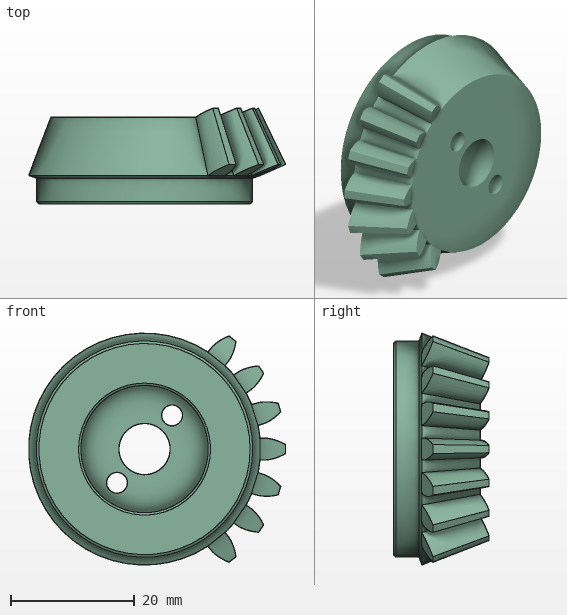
import cadquery as cq
import math

hub_radius = 34.85 / 2
hub_chamfer = 0.4
hub_length = 4.15
rim_radius = 18.7
rim_y = 4.6
front_radius = 15.08
front_y = 14.0

recess_diameter = 20.5
recess_chamfer = 0.37
recess_depth = 5.15
shaft_diameter = 8.2
dowel_diameter = 3.3
dowel_x = 4.45
dowel_z = 5.43

teeth_per_turn = 21
teeth_present = 7
tip_radius = 22.75
tip_y = 6.38
root_half_width = 1.8
tip_half_width = 0.725
flank_bulge = 0.325
flank_facets = 6
facet_height = 0.65
root_sink = 0.12

apex_y = rim_y + rim_radius * (front_y - rim_y) / (rim_radius - front_radius)
front_scale = (apex_y - front_y) / (apex_y - rim_y)
back_angle = math.atan2(tip_y - rim_y, tip_radius - rim_radius)
tooth_height = math.hypot(tip_radius - rim_radius, tip_y - rim_y)


def make_body():
    profile = [
        (0, 0),
        (hub_radius - hub_chamfer, 0),
        (hub_radius, hub_chamfer),
        (hub_radius, hub_length),
        (rim_radius, rim_y),
        (front_radius, front_y),
        (0, front_y),
    ]
    return cq.Workplane("XY").polyline(profile).close().revolve(360, (0, 0, 0), (0, 1, 0))


def round_cut(diameter, depth, x=0, z=0):
    """Cylinder running from the back face towards +Y."""
    return cq.Workplane("XZ").center(x, z).circle(diameter / 2).extrude(-depth)


def recess_mouth():
    """Conical chamfer at the mouth of the recess."""
    mouth_radius = recess_diameter / 2 + recess_chamfer
    cone = cq.Solid.makeCone(
        mouth_radius, recess_diameter / 2, recess_chamfer, cq.Vector(0, 0, 0), cq.Vector(0, 1, 0)
    )
    return cq.Workplane(cone)


def half_width(height):
    """Half thickness of a tooth at a height above its root: a straight taper plus a parabolic bulge."""
    t = height / tooth_height
    taper = root_half_width + (tip_half_width - root_half_width) * t
    return taper + 4 * flank_bulge * t * (1 - t)


def tooth_section(scale):
    """Tooth outline on the back cone, shrunk towards the apex by the given scale."""
    origin = (scale * rim_radius, apex_y + scale * (rim_y - apex_y), 0)
    along_height = (math.cos(back_angle), math.sin(back_angle), 0)
    towards_front = (-math.sin(back_angle), math.cos(back_angle), 0)
    flank = [(-root_sink, root_half_width)]
    for facet in reversed(range(flank_facets)):
        height = tooth_height - facet * facet_height
        flank.append((height, half_width(height)))
    opposite_flank = [(height, -width) for height, width in reversed(flank)]
    outline = [(scale * height, scale * width) for height, width in flank + opposite_flank]
    return cq.Workplane(cq.Plane(origin, along_height, towards_front)).polyline(outline).close().val()


result = make_body()
result = result.cut(round_cut(recess_diameter, recess_depth)).cut(recess_mouth())
result = result.cut(round_cut(shaft_diameter, front_y))
for side in (1, -1):
    result = result.cut(round_cut(dowel_diameter, front_y, side * dowel_x, side * dowel_z))

tooth = cq.Workplane(cq.Solid.makeLoft([tooth_section(1), tooth_section(front_scale)], True))
for index in range(teeth_present):
    angle = (index - (teeth_present - 1) / 2) * 360 / teeth_per_turn
    result = result.union(tooth.rotate((0, 0, 0), (0, 1, 0), angle))